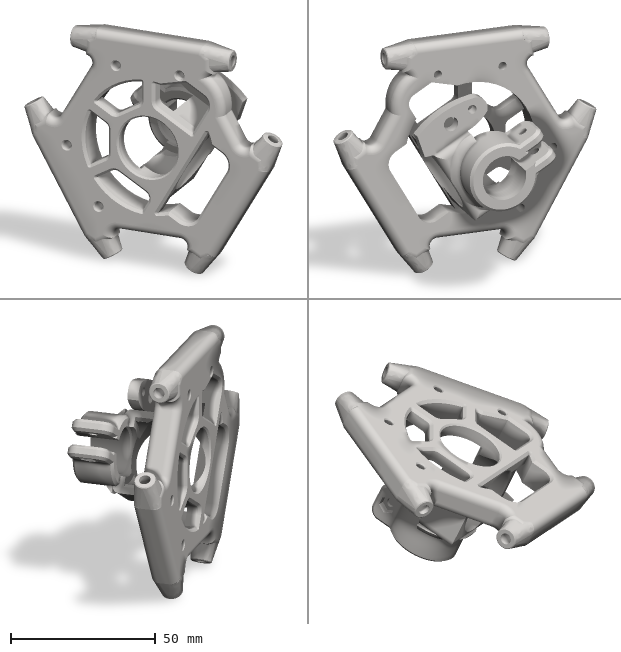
import cadquery as cq
import math

plate_half = 4.99
hub_back = 0
long_side = 40.0
arm_centre = long_side - plate_half
bar_half_length = 20.0
arm_end = 30.0
arm_tip_radius = 3.7
arm_hole_diameter = 4.0
edge_radius = 2.8
arm_root_radius = 3.0
arm_tip_chamfer = 0.3
tip_roundness = 0.98
web_radius = 2.5
shoulder_rise = 1.9

bulge_x, bulge_z, bulge_radius = 14.4, 17.6, 14.0

screw_x, screw_z = 12.0, 28.5
screw_diameter = 3.0
screw_chamfer = 0.5

plate_bore_diameter = 22.4
plate_bore_chamfer = 0.6

rim_radius = 24.0
hub_apothem = 15.0
spoke_half_width = 2.5
rib_inner, rib_outer = 10.0, 15.0
slot_outer = 28.0
slot_half_length = 15.7
slot_corner_radius = 5.0
hub_corner_radius = 2.5
window_chamfer = 1.0
tab_window_start = (-7.7, 22.7)
tab_window_peak = (-0.6, 29.6)
tab_window_edge = 10.7
tab_window_radius = 3.7

tilt = 30
post_depth = 14.5
post_half_width = 14.8
post_top = 24.9
post_edge_radius = 2.6
post_bore_mouth = 1.2
post_bore_top = 20.8
arch_diameter = 26.0
arch_y = 9.5
clamp_base, clamp_top = 22.7, 37.72
clamp_diameter = 25.0
clamp_bore_diameter = 16.1
clamp_bore_chamfer = 0.7
clamp_chamfer = 1.0
collar_height = 2.6
gap_half = 2.4
lug_thickness = 4.3
lug_end = 20.0
lug_corner_radius = 4.0
lug_root_radius = 1.5
lug_edge_chamfer = 1.1
lug_hole_reach = 15.0
lug_hole_diameter = 3.2
nut_across_corners = 6.4
nut_depth = 2.9

tab_front, tab_back = 17.6, 21.6
tab_arc_z, tab_arc_radius = -9.0, 34.1
tab_end_x = 26.0
tab_foot = (23.2, 5.2)
tab_notch = (3.1, 15.7)
tab_neck_z = 19.4
tab_corner_radius = 4.4
tab_root_overlap = 0.8
tab_small_hole = (5.7, 20.5, 3.2)
tab_large_hole = (13.6, 16.2, 5.2)

AXIS = ((0, 0, 0), (0, 1, 0))


def sketch(y_back):
    """Sketch plane at y_back, with X right and Z up; extruding goes toward -Y."""
    return cq.Workplane("XZ", origin=(0, y_back, 0))


def turn(point, degrees):
    """Turn an (x, z) point about the bore axis, counter-clockwise seen from -Y."""
    c, s = math.cos(math.radians(degrees)), math.sin(math.radians(degrees))
    return (point[0] * c - point[1] * s, point[0] * s + point[1] * c)


def mirrored(point):
    return (-point[0], point[1])


def block(x0, x1, y0, y1, z0, z1):
    return cq.Workplane("XY").box(x1 - x0, y1 - y0, z1 - z0, centered=False).translate((x0, y0, z0))


def rod(diameter, y0, y1, x=0, z=0):
    return sketch(y1).center(x, z).circle(diameter / 2).extrude(y1 - y0)


def chamfered_bore(diameter, chamfer, x=0, z=0):
    """Cutter for a hole through the plate with a conical mouth on the front face."""
    radius = diameter / 2
    mouth = cq.Solid.makeCone(
        radius + chamfer, radius, chamfer, cq.Vector(x, -plate_half, z), cq.Vector(0, 1, 0)
    )
    return rod(diameter, -plate_half, plate_half, x, z).union(cq.Workplane(mouth))


def to_tilted(body):
    return body.rotate(*AXIS, tilt)


def web_points():
    """The concave web right of the top bar: arm end, middle and short-side end."""
    corner_x, corner_z = bar_half_length, long_side - 2 * plate_half
    reach = web_radius / math.tan(math.radians(30))
    centre_x, centre_z = corner_x + reach, corner_z - web_radius
    on_arm = (centre_x, corner_z)
    inward = turn((-web_radius, 0), -30)
    middle = (centre_x + inward[0], centre_z + inward[1])
    along_side = turn((reach, 0), -60)
    on_side = (corner_x + along_side[0], corner_z + along_side[1])
    return on_arm, middle, on_side


def plate_blank():
    """Six-sided plate with rounded edges, reaching a little way into each arm."""
    on_arm, middle, on_side = web_points()
    bar_end = (bar_half_length, long_side)
    shoulder = (on_arm[0], arm_centre + shoulder_rise)

    outline = sketch(plate_half).moveTo(*mirrored(bar_end))
    for angle in (0, -120, -240):
        following = angle - 120
        outline = (
            outline.lineTo(*turn(bar_end, angle))
            .lineTo(*turn(shoulder, angle))
            .lineTo(*turn(on_arm, angle))
            .threePointArc(turn(middle, angle), turn(on_side, angle))
            .lineTo(*turn(mirrored(on_side), following))
            .threePointArc(turn(mirrored(middle), following), turn(mirrored(on_arm), following))
            .lineTo(*turn(mirrored(shoulder), following))
        )
        if following != -360:
            outline = outline.lineTo(*turn(mirrored(bar_end), following))
    blank = outline.close().extrude(2 * plate_half)
    blank = blank.faces("<Y or >Y").edges().fillet(edge_radius)
    bulge = rod(2 * bulge_radius, -plate_half, plate_half, bulge_x, bulge_z)
    return blank.union(bulge.edges("%CIRCLE").fillet(edge_radius))


def arm():
    """Right-hand arm of the top bar, blending from a rounded square to a round tip."""
    root_side, tip_side = 2 * plate_half, 2 * arm_tip_radius
    root = cq.Sketch().rect(root_side, root_side).vertices().fillet(arm_root_radius)
    tip = cq.Sketch().rect(tip_side, tip_side).vertices().fillet(tip_roundness * arm_tip_radius)
    length = arm_end - bar_half_length
    body = (
        cq.Workplane("YZ", origin=(bar_half_length, 0, arm_centre))
        .placeSketch(root, tip.moved(cq.Location(cq.Vector(0, 0, length))))
        .loft()
    )
    return body.faces(">X").chamfer(arm_tip_chamfer)


def arm_pair():
    right = arm()
    return right.union(right.mirror("YZ"))


def arm_hole():
    return (
        cq.Workplane("YZ", origin=(-arm_end, 0, arm_centre))
        .circle(arm_hole_diameter / 2)
        .extrude(2 * arm_end)
    )


def rim_windows():
    """Ring around the hub, split by three spokes and the straight rib (tilted frame)."""
    hub_corner = hub_apothem / math.cos(math.radians(30))
    hub_outline = [
        (rib_outer, hub_apothem),
        (-hub_corner / 2, hub_apothem),
        (-hub_corner, 0),
        (-hub_corner / 2, -hub_apothem),
        (rib_outer, -hub_apothem),
    ]
    hub = sketch(plate_half).polyline(hub_outline).close().extrude(2 * plate_half)
    ring = rod(2 * rim_radius, -plate_half, plate_half).cut(hub)
    for angle in (60, 0, -60):
        spoke = block(-2 * rim_radius, 0, -plate_half, plate_half, -spoke_half_width, spoke_half_width)
        ring = ring.cut(spoke.rotate(*AXIS, angle))
    ring = ring.cut(block(rib_inner, rib_outer, -plate_half, plate_half, -rim_radius, rim_radius))
    near_hub = cq.selectors.BoxSelector(
        (-hub_corner, -plate_half, -hub_corner), (hub_corner, plate_half, hub_corner)
    )
    return ring.edges("|Y").edges(near_hub).fillet(hub_corner_radius)


def slot():
    opening = block(
        rib_outer, slot_outer, -plate_half, plate_half, -slot_half_length, slot_half_length
    )
    return opening.edges("|Y and >X").fillet(slot_corner_radius)


def tab_window():
    """Extra opening beyond the rim, in front of the tab (tilted frame)."""
    outline = [
        tab_window_start,
        tab_window_peak,
        (tab_window_edge, tab_window_peak[1]),
        (tab_window_edge, hub_apothem),
        (tab_window_edge / 2, hub_apothem),
    ]
    opening = sketch(plate_half).polyline(outline).close().extrude(2 * plate_half)
    outer_corner = cq.selectors.NearestToPointSelector((tab_window_edge, 0, tab_window_peak[1]))
    return opening.edges("|Y").edges(outer_corner).fillet(tab_window_radius)


def plate():
    openings = rim_windows().union(tab_window()).union(slot())
    body = plate_blank().cut(to_tilted(openings))
    body = body.cut(rod(2 * rim_radius, hub_back, plate_half))
    flare = cq.Vector(0, -window_chamfer, 0)
    for rim in body.faces("<Y").val().innerWires():
        mouth = cq.Solid.extrudeLinear(rim.translate(-flare), [], flare, -45)
        body = body.cut(cq.Workplane(mouth))
    for angle in (0, 120, 240):
        body = body.union(arm_pair().rotate(*AXIS, angle))
    return body


def post():
    """Block behind the hub, with its outer top edges rounded (tilted frame)."""
    body = block(0, post_depth, hub_back, post_top, -post_half_width, post_half_width)
    body = body.faces(">Y").edges(">X or >Z or <Z").fillet(post_edge_radius)
    collar_radius = clamp_diameter / 2
    collar = cq.Workplane(
        cq.Solid.makeCone(
            collar_radius + collar_height, collar_radius, collar_height,
            cq.Vector(0, post_top, 0), cq.Vector(0, 1, 0),
        )
    )
    footprint = block(
        0, post_depth, post_top, post_top + collar_height, -post_half_width, post_half_width
    )
    return body.union(collar.intersect(footprint))


def lug(inner):
    """Clamping ear reaching outward from the ring, starting at height z = inner."""
    body = block(-lug_end, -clamp_bore_diameter / 2, clamp_base, clamp_top, inner, inner + lug_thickness)
    body = body.edges("|Z and <X").fillet(lug_corner_radius)
    return body.faces(">Z or <Z").edges("not >X").chamfer(lug_edge_chamfer)


def lug_root():
    """Rounded corner between the upper ear's outer face and the ring."""
    ring_radius = clamp_diameter / 2
    lug_face = gap_half + lug_thickness
    lug_middle = gap_half + lug_thickness / 2
    centre_z = lug_face + lug_root_radius
    centre_x = -math.sqrt((ring_radius + lug_root_radius) ** 2 - centre_z ** 2)
    on_lug = (centre_x, lug_face)
    share = ring_radius / (ring_radius + lug_root_radius)
    on_ring = (centre_x * share, centre_z * share)
    chord_x = (on_lug[0] + on_ring[0]) / 2
    chord_z = (on_lug[1] + on_ring[1]) / 2
    toward_corner = math.atan2(chord_z - centre_z, chord_x - centre_x)
    middle = (
        centre_x + lug_root_radius * math.cos(toward_corner),
        centre_z + lug_root_radius * math.sin(toward_corner),
    )
    return (
        sketch(clamp_top - clamp_chamfer)
        .moveTo(*on_lug)
        .threePointArc(middle, on_ring)
        .lineTo(on_ring[0], lug_middle)
        .lineTo(on_lug[0], lug_middle)
        .close()
        .extrude(clamp_top - clamp_base - 2 * clamp_chamfer)
    )


def clamp():
    ring = rod(clamp_diameter, clamp_base, clamp_top).faces("<Y or >Y").chamfer(clamp_chamfer)
    body = ring.union(lug(gap_half)).union(lug(-gap_half - lug_thickness))
    root = lug_root()
    return body.union(root).union(root.mirror("XY"))


def clamp_cuts():
    """Clamp bore, clamping gap, lug screw hole and nut pocket (tilted frame)."""
    mouth = rod(clamp_bore_diameter + 2 * clamp_bore_chamfer, hub_back, clamp_base + clamp_bore_chamfer)
    mouth = mouth.faces(">Y").chamfer(clamp_bore_chamfer)
    cuts = rod(clamp_bore_diameter, hub_back, clamp_top).union(mouth)
    cuts = cuts.union(block(-lug_end, 0, clamp_base, clamp_top, -gap_half, gap_half))
    lug_face = gap_half + lug_thickness
    hole_y = (clamp_base + clamp_top) / 2
    lug_plane = cq.Workplane("XY", origin=(-lug_hole_reach, hole_y, -lug_face))
    hole = lug_plane.circle(lug_hole_diameter / 2).extrude(2 * lug_face)
    nut = lug_plane.transformed(rotate=(0, 0, 90)).polygon(6, nut_across_corners).extrude(nut_depth)
    return cuts.union(hole).union(nut)


def post_cuts():
    """Wide bore up to the shelf and the round arch through the post (tilted frame)."""
    radius = plate_bore_diameter / 2
    bore = rod(plate_bore_diameter, hub_back, post_bore_top)
    mouth = [
        (0, -radius - post_bore_mouth),
        (0, radius + post_bore_mouth),
        (post_bore_mouth, radius),
        (post_bore_mouth, -radius),
    ]
    bore = bore.union(sketch(post_bore_top).polyline(mouth).close().extrude(post_bore_top - hub_back))
    arch = cq.Workplane("YZ").center(arch_y, 0).circle(arch_diameter / 2).extrude(rib_outer)
    return bore.union(arch)


def tab():
    """Sector-shaped flange beside the post, with two holes."""
    def arc_point(x):
        return (x, tab_arc_z + math.sqrt(tab_arc_radius ** 2 - x ** 2))

    root_left = turn((0, post_half_width), -tilt)
    root_right = turn((post_depth, post_half_width), -tilt)
    outline = (
        sketch(tab_back)
        .moveTo(*arc_point(0))
        .threePointArc(arc_point(tab_end_x / 2), arc_point(tab_end_x))
        .lineTo(*tab_foot)
        .lineTo(*root_right)
        .lineTo(*turn((post_depth / 2, tab_root_overlap * post_half_width), -tilt))
        .lineTo(*root_left)
        .threePointArc(tab_notch, (0, tab_neck_z))
        .close()
    )
    body = outline.extrude(tab_back - tab_front)
    corner = cq.selectors.NearestToPointSelector((0, tab_front, arc_point(0)[1]))
    body = body.edges("|Y").edges(corner).fillet(tab_corner_radius)
    for x, z, diameter in (tab_small_hole, tab_large_hole):
        body = body.cut(rod(diameter, tab_front, tab_back, x, z))
    return body


result = plate().union(to_tilted(post().union(clamp()))).union(tab())
result = result.cut(to_tilted(post_cuts().union(clamp_cuts())))
result = result.cut(chamfered_bore(plate_bore_diameter, plate_bore_chamfer))
for angle in (0, 120, 240):
    result = result.cut(arm_hole().rotate(*AXIS, angle))
for angle in (0, -120):
    for side in (-1, 1):
        hole = chamfered_bore(screw_diameter, screw_chamfer, side * screw_x, screw_z)
        result = result.cut(hole.rotate(*AXIS, angle))